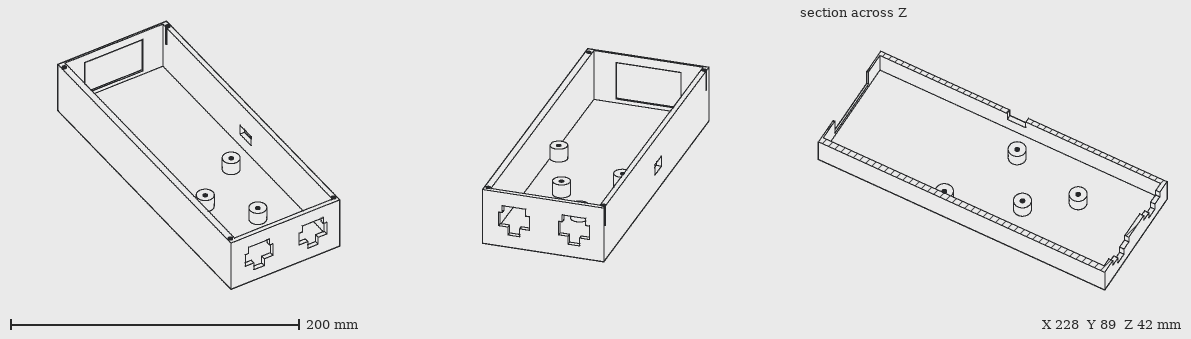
import cadquery as cq

length = 228.0
width = 89.0
height = 42.0

left_wall = 1.5
right_wall = 3.5
front_wall = 5.0
back_wall = 3.9
floor = 3.9

thread_minor_diameter = 2.5
thread_major_diameter = 3.2
thread_pitch = 0.5

lid_thread_turns = 32
lid_hole_inset_x = 4.8
lid_hole_inset_front = 2.5
lid_hole_inset_back = 2.0

standoff_diameter = 12.5
standoff_height = 10.0
standoff_thread_turns = 20
standoff_centers = [(94.5, 10.7), (145.7, 30.0), (176.7, 53.8), (121.0, 66.5)]

display_y = 21.2
display_z = 6.8
display_width = 47.7
display_height = 28.3

port_x = 102.8
port_z = 14.4
port_width = 14.5
port_height = 8.0

socket_centers_y = [23.0, 67.0]
socket_width = 22.5
socket_top_width = 17.0
socket_stem_width = 8.5
socket_stem_z = 9.5
socket_middle_z = 15.7
socket_shoulder_z = 26.2
socket_top_z = 31.7


def block(x_range, y_range, z_range):
    """Axis-aligned box spanning the given (low, high) ranges."""
    sizes = [high - low for low, high in (x_range, y_range, z_range)]
    corner = (x_range[0], y_range[0], z_range[0])
    return cq.Workplane("XY").box(*sizes, centered=False).translate(corner)


def open_case():
    body = block((0, length), (0, width), (0, height))
    cavity = block(
        (left_wall, length - right_wall),
        (front_wall, width - back_wall),
        (floor, height),
    )
    return body.cut(cavity)


def standoffs():
    """Posts on the floor; a post reaching a wall merges into it."""
    return (
        cq.Workplane("XY", origin=(0, 0, floor))
        .pushPoints(standoff_centers)
        .circle(standoff_diameter / 2)
        .extrude(standoff_height)
    )


def threaded_hole(turns):
    """Cutter for a hole down from z = 0, with one V-shaped ring groove per thread turn."""
    minor_radius = thread_minor_diameter / 2
    major_radius = thread_major_diameter / 2
    profile = [(0, 0)]
    for turn in range(turns):
        turn_top = -turn * thread_pitch
        profile.append((minor_radius, turn_top))
        profile.append((major_radius, turn_top - thread_pitch / 2))
    bottom = -turns * thread_pitch
    profile += [(minor_radius, bottom), (0, bottom)]
    return (
        cq.Workplane("XZ")
        .polyline(profile)
        .close()
        .revolve(360, (0, 0, 0), (0, 1, 0))
    )


def display_window():
    return block(
        (0, left_wall),
        (display_y, display_y + display_width),
        (display_z, display_z + display_height),
    )


def port_opening():
    return block(
        (port_x, port_x + port_width),
        (width - back_wall, width),
        (port_z, port_z + port_height),
    )


def socket_opening(center_y):
    """Symmetric stepped outline cut through the right wall."""
    half_stem = socket_stem_width / 2
    half_middle = socket_width / 2
    half_top = socket_top_width / 2
    right_half = [
        (half_stem, socket_stem_z),
        (half_stem, socket_middle_z),
        (half_middle, socket_middle_z),
        (half_middle, socket_shoulder_z),
        (half_top, socket_shoulder_z),
        (half_top, socket_top_z),
    ]
    left_half = [(-y, z) for y, z in reversed(right_half)]
    return (
        cq.Workplane("YZ", origin=(length - right_wall, center_y, 0))
        .polyline(right_half + left_half)
        .close()
        .extrude(right_wall)
    )


result = open_case().union(standoffs())
result = result.cut(display_window()).cut(port_opening())
for socket_y in socket_centers_y:
    result = result.cut(socket_opening(socket_y))

lid_hole = threaded_hole(lid_thread_turns)
for hole_x in (lid_hole_inset_x, length - lid_hole_inset_x):
    for hole_y in (lid_hole_inset_front, width - lid_hole_inset_back):
        result = result.cut(lid_hole.translate((hole_x, hole_y, height)))

standoff_hole = threaded_hole(standoff_thread_turns)
standoff_top = floor + standoff_height
for post_x, post_y in standoff_centers:
    result = result.cut(standoff_hole.translate((post_x, post_y, standoff_top)))